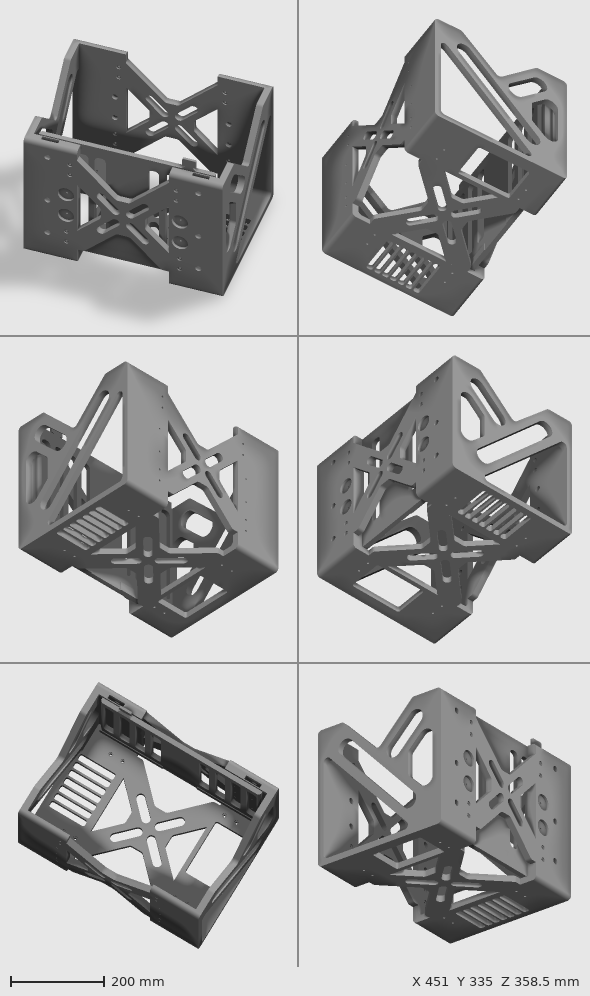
import cadquery as cq
import math

LENGTH = 451.0
DEPTH = 335.0
HEIGHT = 329.2
WALL = 15.5
FLOOR = 15.0
FRONT_FLANGE = 24.0
BRACKET_WIDTH = 121.5
CORNER_R = 10.0
MID_X = LENGTH / 2

WIDE_SLOT_R = 20.0
NOTCH = [(77.0, HEIGHT), (172.5, 233.0), (267.0, HEIGHT)]
TRIANGLE = [(DEPTH - WALL, FLOOR), (DEPTH - WALL, 272.5), (77.0, FLOOR)]
LONG_SLOT = [(259.5, 266.5), (87.5, 83.5)]
SHORT_SLOT = [(70.0, 277.0), (128.0, 219.5)]
TRAPEZOID_FRONT = 22.5
TRAPEZOID_BACK = 89.5
TRAPEZOID_MID_Z = 172.5
TRAPEZOID_BACK_HALF = 29.5

WINDOW_X = (26.0, 111.0)
WINDOW_Y = (76.5, 207.0)
VENT_COUNT = 7
VENT_PITCH = 20.0
VENT_WIDTH = 15.5
VENT_START_X = 347.0
VENT_MID_Y = 167.0
OPENING_R = 5.0

ACCESS_X = 54.5
ACCESS_Z = (293.0, 166.5, 70.5)
ACCESS_DIA = 14.0
SCREW_DIA = 5.0
CHANNEL_WIDTH = 39.0
CHANNEL_FRONT = 13.0
CHANNEL_BACK = 22.0
MAGNET_X = 96.5
MAGNET_Z = (195.5, 134.0)
MAGNET_DIA = 37.0
MAGNET_DEPTH = 6.8
MAGNET_PIN_DIA = 4.0
BACK_HOLE_DIA = 14.0
BACK_HOLE_DEPTH = 7.5

ARM_WIDTH = 50.0
WAIST_HALF = 50.0
TAB_LAP = 7.5
BRACE_HOLE_DIA = 11.0
COUNTERBORE_DEPTH = 2.5
SLOT_R = 10.0
SLOT_INNER = 16.5
SLOT_OUTER = 49.5
SLOT_OUTER_LONG = 53.0
UPRIGHT_MID_Z = 164.0
UPRIGHT_HOLES = [(105.0, 256.0), (105.0, 286.0), (97.0, 56.5), (97.0, 86.0)]
FLOOR_MID_Y = 167.0
FLOOR_HOLE_X = (71.5, 101.5)
FLOOR_HOLE_BACK_Y = 265.5
FLOOR_HOLE_LEFT_Y = 58.0
FLOOR_HOLE_RIGHT_Y = 68.5
NARROW_TAB_X = 116.0
NARROW_TAB_Y = 71.5
TAB_INNER = 73.0
TAB_OUTER = 123.5
UPRIGHT_TAB = -143.0
UPPER_APEX = -115.0
LOWER_NOTCH = -108.5
LOWER_TAB_SHIFT = -108.0
BACK_LOWER_TAB = -148.0
FLOOR_TAB = -169.5
ARM_EDGE = ARM_WIDTH / math.sqrt(2)
WAIST_STEP = WAIST_HALF - ARM_EDGE

PANEL_END = 25.5
PANEL_FRONT = 26.0
PANEL_THICK = 11.0
PANEL_TOP = 330.0
LAP_START = 217.5
LAP_END = 264.7
PANEL_CHAMFER = 5.0
SKIRT_END = 182.5
SKIRT_REACH = 2.0
SKIRT_TOP = 36.0
LOUVRE_COUNT = 4
LOUVRE_PITCH = 39.2
LOUVRE_WIDTH = 25.3
LOUVRE_START = 34.7
LOUVRE_Z = (65.0, 301.0)
PANEL_BACK = PANEL_FRONT + PANEL_THICK
PANEL_MID = PANEL_FRONT + PANEL_THICK / 2

TAB_MID_X = 366.0
TAB_TOP = 358.5
TAB_HEAD_WIDTH = 30.5
TAB_HEAD_Z = 338.0
TAB_NECK_WIDTH = 19.0
TAB_BASE_WIDTH = 32.5
TAB_CORNER_R = 3.0


def block(x, y, z):
    """Box spanning the three (start, end) ranges."""
    size = (x[1] - x[0], y[1] - y[0], z[1] - z[0])
    return cq.Workplane("XY").box(*size, centered=False).translate((x[0], y[0], z[0]))


def mirror_x(body):
    """Mirror image about the middle plane of the frame."""
    return body.mirror("YZ", (MID_X, 0, 0))


def y_hole(x, z, diameter, y_start, y_end):
    """Round cutter running along Y."""
    plane = cq.Workplane("XZ", origin=(x, y_start, z))
    return plane.circle(diameter / 2).extrude(y_start - y_end)


def slot_prism(plane, start, end, radius, depth):
    """Round-ended slot between two end centres on the given plane."""
    run, rise = end[0] - start[0], end[1] - start[1]
    middle = ((start[0] + end[0]) / 2, (start[1] + end[1]) / 2)
    overall = math.hypot(run, rise) + 2 * radius
    angle = math.degrees(math.atan2(rise, run))
    return plane.center(*middle).slot2D(overall, 2 * radius, angle).extrude(depth)


def wall_openings():
    """Cutters through the left side wall."""
    def side():
        return cq.Workplane("YZ")

    notch_top = HEIGHT + WALL
    notch = side().polyline([*NOTCH, (NOTCH[2][0], notch_top), (NOTCH[0][0], notch_top)]).close()
    notch = notch.extrude(WALL)
    notch_floor = cq.selectors.NearestToPointSelector((WALL / 2, *NOTCH[1]))
    notch = notch.edges(notch_floor).fillet(CORNER_R)

    triangle = side().polyline(TRIANGLE).close().extrude(WALL).edges("|X").fillet(CORNER_R)

    front_half = TRAPEZOID_BACK_HALF + TRAPEZOID_BACK - TRAPEZOID_FRONT
    trapezoid = side().polyline([
        (TRAPEZOID_FRONT, TRAPEZOID_MID_Z - front_half),
        (TRAPEZOID_BACK, TRAPEZOID_MID_Z - TRAPEZOID_BACK_HALF),
        (TRAPEZOID_BACK, TRAPEZOID_MID_Z + TRAPEZOID_BACK_HALF),
        (TRAPEZOID_FRONT, TRAPEZOID_MID_Z + front_half),
    ]).close().extrude(WALL)
    trapezoid = trapezoid.edges("|X").edges("<Y").fillet(WIDE_SLOT_R)
    trapezoid = trapezoid.edges("|X").edges(">Y").fillet(CORNER_R)

    long_slot = slot_prism(side(), *LONG_SLOT, WIDE_SLOT_R, WALL)
    short_slot = slot_prism(side(), *SHORT_SLOT, WIDE_SLOT_R, WALL)
    return [notch, triangle, trapezoid, long_slot, short_slot]


def bracket_frame():
    """Left bracket without floor openings: side wall, floor, front and back flanges."""
    frame = block((0, BRACKET_WIDTH), (0, DEPTH), (0, HEIGHT)).edges("|X").fillet(CORNER_R)
    cavity = block((WALL, BRACKET_WIDTH), (FRONT_FLANGE, DEPTH - WALL), (FLOOR, HEIGHT))
    frame = frame.cut(cavity.edges("|X").edges(">Y and <Z").fillet(CORNER_R))
    for opening in wall_openings():
        frame = frame.cut(opening)
    for y, z in (NOTCH[0], NOTCH[2]):
        rim = cq.selectors.NearestToPointSelector((WALL / 2, y, z))
        frame = frame.edges("|X").edges(rim).fillet(CORNER_R)

    back_face = DEPTH - WALL
    channel_x = (ACCESS_X - CHANNEL_WIDTH / 2, ACCESS_X + CHANNEL_WIDTH / 2)
    channel_z = (min(ACCESS_Z) - CHANNEL_WIDTH / 2, HEIGHT)
    frame = frame.cut(block(channel_x, (CHANNEL_FRONT, CHANNEL_BACK), channel_z))
    for z in ACCESS_Z:
        frame = frame.cut(y_hole(ACCESS_X, z, ACCESS_DIA, 0, CHANNEL_FRONT))
        frame = frame.cut(y_hole(ACCESS_X, z, SCREW_DIA, 0, FRONT_FLANGE))
    for z in MAGNET_Z:
        frame = frame.cut(y_hole(MAGNET_X, z, MAGNET_PIN_DIA, 0, DEPTH))
        frame = frame.cut(y_hole(MAGNET_X, z, MAGNET_DIA, 0, MAGNET_DEPTH))
        frame = frame.cut(y_hole(MAGNET_X, z, BACK_HOLE_DIA, back_face, back_face + BACK_HOLE_DEPTH))
    for x, z in UPRIGHT_HOLES:
        frame = frame.cut(y_hole(x, z, SCREW_DIA, 0, DEPTH))
    return frame


def floor_window():
    """Rectangular opening in the left floor."""
    return block(WINDOW_X, WINDOW_Y, (0, FLOOR)).edges("|Z").fillet(OPENING_R)


def floor_vents():
    """Row of vent slots in the right floor, reaching the side wall."""
    vents = cq.Workplane("XY")
    for index in range(VENT_COUNT):
        y = VENT_MID_Y + (index - (VENT_COUNT - 1) / 2) * VENT_PITCH
        y_range = (y - VENT_WIDTH / 2, y + VENT_WIDTH / 2)
        vent = block((VENT_START_X, LENGTH - WALL), y_range, (0, FLOOR))
        vents = vents.add(vent.edges("|Z").fillet(OPENING_R))
    return vents.vals()


def cross_plate(left_outline, rounded_box, thickness, slot_ends):
    """Symmetric X-shaped plate lying on the XY plane and centred on the crossing of its arms."""
    right_outline = [(-u, v) for u, v in reversed(left_outline)]
    plate = cq.Workplane("XY").polyline(left_outline + right_outline).close().extrude(thickness)
    half_u, low_v, high_v = rounded_box
    rounded = cq.selectors.BoxSelector((-half_u, low_v, -4.5), (half_u, high_v, thickness + 4.5))
    plate = plate.edges("|Z").edges(rounded).fillet(CORNER_R)
    for side in (-1, 1):
        for direction, outer in slot_ends:
            inner_end = (side * SLOT_INNER, direction * SLOT_INNER)
            outer_end = (side * outer, direction * outer)
            plate = plate.cut(slot_prism(cq.Workplane("XY"), inner_end, outer_end, SLOT_R, thickness))
    return plate


def upright_cross(lower_tab):
    """Pointed-tab cross plate of the front and back braces, standing in the XZ plane from Y = 0."""
    lower_apex = (lower_tab + LOWER_TAB_SHIFT) / 2
    apex_sum = 2 * LOWER_NOTCH + ARM_EDGE
    apex_v = ARM_EDGE - UPPER_APEX
    left_outline = [
        (-WAIST_STEP, WAIST_HALF),
        (UPPER_APEX, apex_v),
        (UPRIGHT_TAB, apex_v + UPRIGHT_TAB - UPPER_APEX),
        (UPRIGHT_TAB, TAB_INNER),
        (-ARM_EDGE - TAB_INNER, TAB_INNER),
        (-WAIST_HALF, WAIST_STEP),
        (-WAIST_HALF, -WAIST_STEP),
        (LOWER_NOTCH, LOWER_NOTCH + ARM_EDGE),
        (lower_apex, apex_sum - lower_apex),
        (lower_tab, apex_sum - 2 * lower_apex + lower_tab),
        (lower_tab, -TAB_OUTER),
        (ARM_EDGE - TAB_OUTER, -TAB_OUTER),
        (-WAIST_STEP, -WAIST_HALF),
    ]
    rounded_box = (TAB_OUTER - ARM_EDGE + 4.5, -TAB_OUTER - 4.5, WAIST_HALF + 4.5)
    plate = cross_plate(left_outline, rounded_box, WALL, [(1, SLOT_OUTER), (-1, SLOT_OUTER)])
    return plate.rotate((0, 0, 0), (1, 0, 0), 90).translate((MID_X, WALL, UPRIGHT_MID_Z))


def floor_cross():
    """Square-tab cross plate of the floor brace, with the front left tab narrowed beside the window."""
    left_outline = [
        (-WAIST_STEP, WAIST_HALF),
        (ARM_EDGE - TAB_OUTER, TAB_OUTER),
        (FLOOR_TAB, TAB_OUTER),
        (FLOOR_TAB, TAB_INNER),
        (-ARM_EDGE - TAB_INNER, TAB_INNER),
        (-WAIST_HALF, WAIST_STEP),
        (-WAIST_HALF, -WAIST_STEP),
        (-ARM_EDGE - TAB_INNER, -TAB_INNER),
        (FLOOR_TAB, -TAB_INNER),
        (FLOOR_TAB, -TAB_OUTER),
        (ARM_EDGE - TAB_OUTER, -TAB_OUTER),
        (-WAIST_STEP, -WAIST_HALF),
    ]
    rounded_box = (TAB_OUTER - ARM_EDGE + 4.5, -TAB_OUTER - 4.5, TAB_OUTER + 4.5)
    plate = cross_plate(left_outline, rounded_box, FLOOR, [(1, SLOT_OUTER_LONG), (-1, SLOT_OUTER)])
    plate = plate.translate((MID_X, FLOOR_MID_Y, 0))
    return plate.cut(block((0, NARROW_TAB_X), (NARROW_TAB_Y, FLOOR_MID_Y), (0, FLOOR)))


def thin_tabs(plate, y, z):
    """Remove the given layer of a brace wherever it overlaps the two brackets."""
    for x in ((0, BRACKET_WIDTH), (LENGTH - BRACKET_WIDTH, LENGTH)):
        plate = plate.cut(block(x, y, z))
    return plate


def drill_upright(plate, face_y):
    """Screw holes through the tabs of a front or back brace, counterbored at the -Y face."""
    for x, z in UPRIGHT_HOLES:
        for hole_x in (x, LENGTH - x):
            plate = plate.cut(y_hole(hole_x, z, SCREW_DIA, 0, DEPTH))
            plate = plate.cut(y_hole(hole_x, z, BRACE_HOLE_DIA, face_y, face_y + COUNTERBORE_DEPTH))
    return plate


def floor_holes(diameter, bottom):
    """Cutters at the eight screws of the floor brace, from the given height up to its top face."""
    left = [(x, y) for x in FLOOR_HOLE_X for y in (FLOOR_HOLE_BACK_Y, FLOOR_HOLE_LEFT_Y)]
    right = [(LENGTH - x, y) for x in FLOOR_HOLE_X for y in (FLOOR_HOLE_BACK_Y, FLOOR_HOLE_RIGHT_Y)]
    holes = cq.Workplane("XY").pushPoints(left + right).circle(diameter / 2).extrude(FLOOR - bottom)
    return holes.translate((0, 0, bottom))


def louvres():
    """Upright slots of the left panel; the right panel carries their mirror image."""
    cutters = cq.Workplane("XY")
    for index in range(LOUVRE_COUNT):
        x = LOUVRE_START + index * LOUVRE_PITCH
        louvre = block((x, x + LOUVRE_WIDTH), (PANEL_FRONT, PANEL_BACK), LOUVRE_Z)
        cutters = cutters.add(louvre.edges("|Y").fillet(CORNER_R))
    return cutters


def panel_half(x_end):
    """Slotted panel from the left end to x_end, with a chamfered rear end corner and a rear skirt."""
    panel = block((PANEL_END, x_end), (PANEL_FRONT, PANEL_BACK), (FLOOR, PANEL_TOP))
    panel = panel.edges("|Z").edges("<X and >Y").chamfer(PANEL_CHAMFER)
    skirt = block((PANEL_END, SKIRT_END), (PANEL_FRONT, PANEL_BACK + SKIRT_REACH), (FLOOR, SKIRT_TOP))
    panel = panel.union(skirt)
    for louvre in louvres().vals():
        panel = panel.cut(cq.Workplane(louvre))
    return panel


def left_panel():
    """Panel whose front layer laps over the right panel."""
    lap = block((LAP_START, LAP_END), (PANEL_MID, PANEL_BACK), (FLOOR, PANEL_TOP))
    return panel_half(LAP_END).cut(lap)


def pull_tab():
    """Headed pull tab above the right panel, with a sloped foot behind it."""
    neck_z = PANEL_TOP + (TAB_BASE_WIDTH - TAB_NECK_WIDTH) / 2
    right_outline = [
        (TAB_MID_X + TAB_BASE_WIDTH / 2, PANEL_TOP),
        (TAB_MID_X + TAB_NECK_WIDTH / 2, neck_z),
        (TAB_MID_X + TAB_NECK_WIDTH / 2, TAB_HEAD_Z),
        (TAB_MID_X + TAB_HEAD_WIDTH / 2, TAB_HEAD_Z),
        (TAB_MID_X + TAB_HEAD_WIDTH / 2, TAB_TOP),
    ]
    left_outline = [(2 * TAB_MID_X - x, z) for x, z in reversed(right_outline)]
    plane = cq.Workplane("XZ", origin=(0, PANEL_FRONT, 0))
    tab = plane.polyline(right_outline + left_outline).close().extrude(-PANEL_THICK)
    tab = tab.edges("|Y").edges(">Z").fillet(TAB_CORNER_R)

    side_profile = cq.Workplane("YZ").polyline([
        (PANEL_FRONT, PANEL_TOP),
        (PANEL_BACK, PANEL_TOP),
        (PANEL_MID, PANEL_TOP + PANEL_BACK - PANEL_MID),
        (PANEL_MID, TAB_TOP),
        (PANEL_FRONT, TAB_TOP),
    ]).close().extrude(LENGTH)
    return tab.intersect(side_profile)


def right_panel():
    """Panel whose rear layer passes behind the left panel, with the pull tab on its top edge."""
    lap = block((LAP_START, LAP_END), (PANEL_FRONT, PANEL_MID), (FLOOR, PANEL_TOP))
    panel = mirror_x(panel_half(LENGTH - LAP_START)).cut(lap)
    return panel.union(pull_tab())


front_blank = upright_cross(UPRIGHT_TAB)
back_y = DEPTH - WALL
back_blank = upright_cross(BACK_LOWER_TAB).translate((0, back_y, 0))
back_blank = thin_tabs(back_blank, (back_y + TAB_LAP, DEPTH), (0, HEIGHT))
floor_blank = thin_tabs(floor_cross(), (0, DEPTH), (0, FLOOR - TAB_LAP))

front_brace = drill_upright(front_blank, 0)
back_brace = drill_upright(back_blank, back_y)
floor_brace = floor_blank.cut(floor_holes(SCREW_DIA, 0))
floor_brace = floor_brace.cut(floor_holes(BRACE_HOLE_DIA, FLOOR - COUNTERBORE_DEPTH))


def seat_braces(bracket):
    """Cut the recesses that receive the brace tabs, and the floor screw holes."""
    return bracket.cut(front_blank).cut(back_blank).cut(floor_blank).cut(floor_holes(SCREW_DIA, 0))


frame = bracket_frame()
left_bracket = seat_braces(frame.cut(floor_window()))
right_bracket = mirror_x(frame)
for vent in floor_vents():
    right_bracket = right_bracket.cut(cq.Workplane(vent))
right_bracket = seat_braces(right_bracket)

result = cq.Compound.makeCompound([
    left_bracket.val(),
    right_bracket.val(),
    front_brace.val(),
    back_brace.val(),
    floor_brace.val(),
    left_panel().val(),
    right_panel().val(),
])